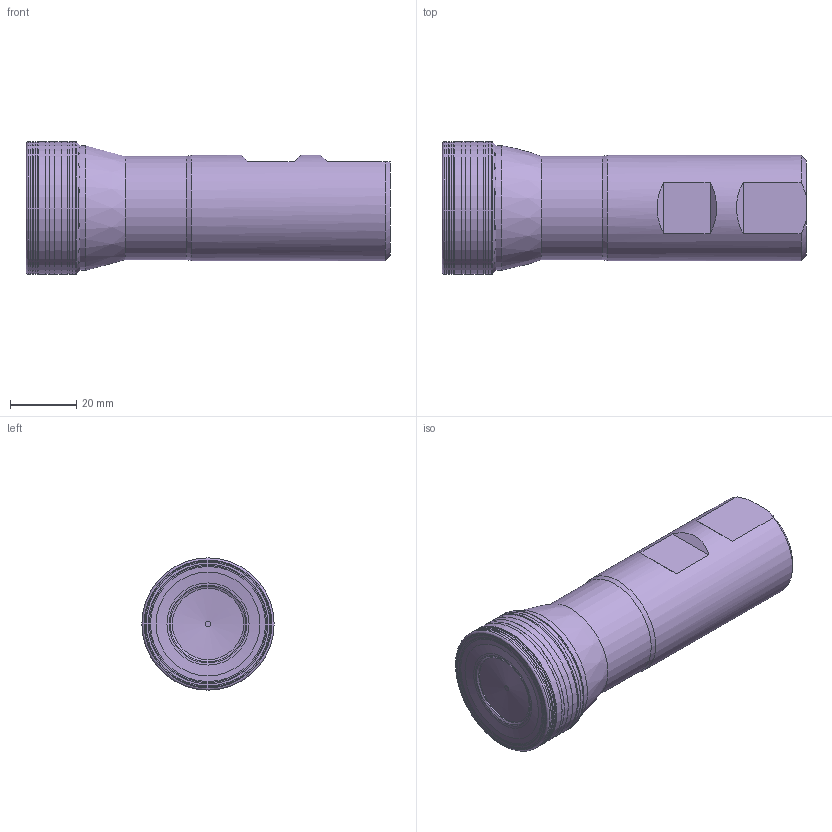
import cadquery as cq
import math

total_length = 110.0
head_diameter = 40.0
collar_diameter = 37.7
neck_diameter = 31.2
shank_diameter = 32.0

head_length = 16.0
rear_chamfer = 0.75
corner_radius = 0.7
groove_depth = 0.03
groove_bands = [
    (1.45, 2.05),
    (2.4, 3.0),
    (3.35, 3.7),
    (6.0, 7.0),
    (8.65, 10.65),
    (12.6, 13.0),
    (13.95, 15.05),
]

rim_step_outer_radius = 19.0
rim_step_inner_radius = 18.7
rim_step_depth = 0.03
rim_inner_radius = 18.05
blend_outer_radius = 17.7
blend_middle_radius = 17.4
dish_outer_radius = 15.7
dish_inner_radius = 12.4
lip_outer_radius = 11.75
lip_inner_radius = 11.4
recess_radius = 10.75
center_flat_radius = 0.85
blend_outer_drop = 0.01
blend_middle_drop = 0.02
blend_drop = 0.12
dish_drop = 0.43
lip_drop = 0.08
lip_edge_drop = 0.1
recess_bevel_drop = 0.35
recess_wall_drop = 0.35
floor_drop = 0.9

collar_start = 16.3
collar_end = 18.0
taper_bulge = 0.3
taper_end = 30.0
shank_length = 60.0
shank_start = total_length - shank_length
lead_in_length = 1.5
end_chamfer = 1.5

flat_height = 14.0
pocket_length = 14.0
pocket_center = total_length - 36.0
rear_flat_start = total_length - 19.0


def revolve_about_x(profile):
    """Turn a closed half-profile in the XY plane about the X axis."""
    return profile.close().revolve(360, (0, 0, 0), (1, 0, 0))


def make_head():
    """Grooved cutting head with a dished, stepped front face."""
    head_radius = head_diameter / 2
    corner_middle = corner_radius * (1 - math.sqrt(0.5))
    outline = (
        cq.Workplane("XY")
        .moveTo(corner_radius, head_radius)
        .threePointArc((corner_middle, head_radius - corner_middle), (0, head_radius - corner_radius))
        .lineTo(0, rim_step_outer_radius)
        .lineTo(rim_step_depth, rim_step_inner_radius)
        .lineTo(rim_step_depth, rim_inner_radius)
    )
    face_rings = [
        (blend_outer_radius, blend_outer_drop),
        (blend_middle_radius, blend_middle_drop),
        (dish_outer_radius, blend_drop),
        (dish_inner_radius, dish_drop),
        (lip_outer_radius, lip_drop),
        (lip_inner_radius, lip_edge_drop),
        (recess_radius, recess_bevel_drop),
        (recess_radius, recess_wall_drop),
        (center_flat_radius, floor_drop),
    ]
    depth = rim_step_depth
    for radius, drop in face_rings:
        depth += drop
        outline = outline.lineTo(depth, radius)
    outline = (
        outline.lineTo(depth, 0)
        .lineTo(head_length, 0)
        .lineTo(head_length, head_radius - rear_chamfer)
        .lineTo(head_length - rear_chamfer, head_radius)
    )
    for groove_start, groove_end in reversed(groove_bands):
        outline = (
            outline.lineTo(groove_end, head_radius)
            .lineTo(groove_end, head_radius - groove_depth)
            .lineTo(groove_start, head_radius - groove_depth)
            .lineTo(groove_start, head_radius)
        )
    return revolve_about_x(outline)


def make_flat_cutter(floor_start, floor_end):
    """Trapezoidal cutter with a flat floor and 45 degree end walls."""
    rise = shank_diameter / 2
    return (
        cq.Workplane("XZ")
        .moveTo(floor_start, flat_height)
        .lineTo(floor_end, flat_height)
        .lineTo(floor_end + rise, flat_height + rise)
        .lineTo(floor_start - rise, flat_height + rise)
        .close()
        .extrude(shank_diameter / 2, both=True)
    )


def make_holder():
    """Collar, taper and neck leading into a Weldon shank."""
    shank_radius = shank_diameter / 2
    neck_radius = neck_diameter / 2
    collar_radius = collar_diameter / 2
    taper_middle = ((collar_end + taper_end) / 2, (collar_radius + neck_radius) / 2 + taper_bulge)
    blank = revolve_about_x(
        cq.Workplane("XY")
        .moveTo(head_length, 0)
        .lineTo(head_length, head_diameter / 2 - rear_chamfer)
        .lineTo(collar_start, collar_radius)
        .lineTo(collar_end, collar_radius)
        .threePointArc(taper_middle, (taper_end, neck_radius))
        .lineTo(shank_start - lead_in_length, neck_radius)
        .lineTo(shank_start, shank_radius)
        .lineTo(total_length - end_chamfer, shank_radius)
        .lineTo(total_length, shank_radius - end_chamfer)
        .lineTo(total_length, 0)
    )
    pocket = make_flat_cutter(pocket_center - pocket_length / 2, pocket_center + pocket_length / 2)
    rear_flat = make_flat_cutter(rear_flat_start, total_length)
    return blank.cut(pocket).cut(rear_flat)


head = make_head()
holder = make_holder()
result = cq.Compound.makeCompound([head.val(), holder.val()])